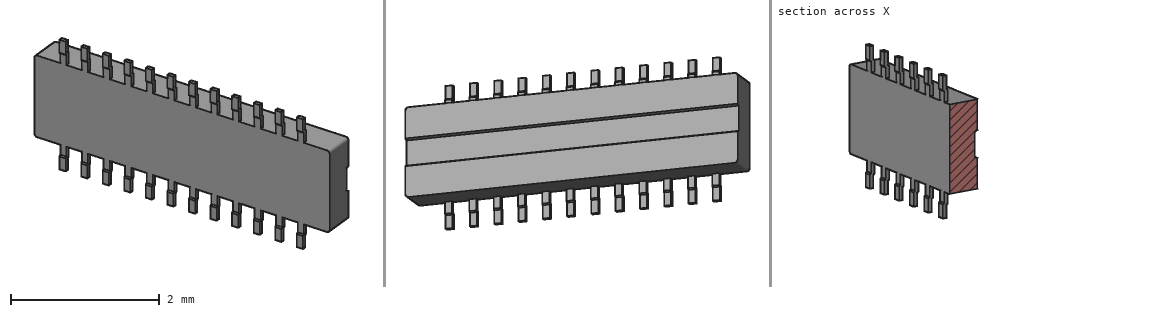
import cadquery as cq

overall_depth = 0.48
overall_height = 2.0

body_length = 4.79
body_height = 1.26
corner_radius = 0.045

groove_width = 0.35
groove_depth = 0.04
groove_flare = 0.02

leads_per_row = 12
lead_pitch = 0.35
lead_width = 0.1
lead_thickness = 0.06
foot_offset = 0.02
foot_length = 0.2
step_length = 0.02
back_bend_shift = 0.015
lead_embed = 0.05

body_depth = overall_depth - foot_offset
body_front = foot_offset
body_back = body_front + body_depth


def make_body():
    """Block with its front face on body_front and its four Y edges rounded."""
    block = cq.Workplane("XY").box(body_length, body_depth, body_height)
    block = block.edges("|Y").fillet(corner_radius)
    return block.translate((0, body_front + body_depth / 2, 0))


def make_groove():
    """Full-length trapezoid cutter whose mouth is on the back face."""
    half_floor = groove_width / 2
    half_mouth = half_floor + groove_flare
    floor = body_back - groove_depth
    return (
        cq.Workplane("YZ")
        .polyline([
            (floor, -half_floor),
            (body_back, -half_mouth),
            (body_back, half_mouth),
            (floor, half_floor),
        ])
        .close()
        .extrude(body_length / 2, both=True)
    )


def make_upper_lead(x):
    """Lead centred on x: flush with the front face, then stepped forward to its foot."""
    root = body_height / 2 - lead_embed
    tip = overall_height / 2
    foot_start = tip - foot_length
    step_start = foot_start - step_length
    back_foot_start = foot_start + back_bend_shift
    back_step_start = step_start + back_bend_shift
    return (
        cq.Workplane("YZ", origin=(x, 0, 0))
        .polyline([
            (body_front, root),
            (body_front, step_start),
            (0, foot_start),
            (0, tip),
            (lead_thickness, tip),
            (lead_thickness, back_foot_start),
            (body_front + lead_thickness, back_step_start),
            (body_front + lead_thickness, root),
        ])
        .close()
        .extrude(lead_width / 2, both=True)
    )


result = make_body().cut(make_groove())
for index in range(leads_per_row):
    lead_x = (index - (leads_per_row - 1) / 2) * lead_pitch
    upper_lead = make_upper_lead(lead_x)
    result = result.union(upper_lead).union(upper_lead.mirror("XY"))